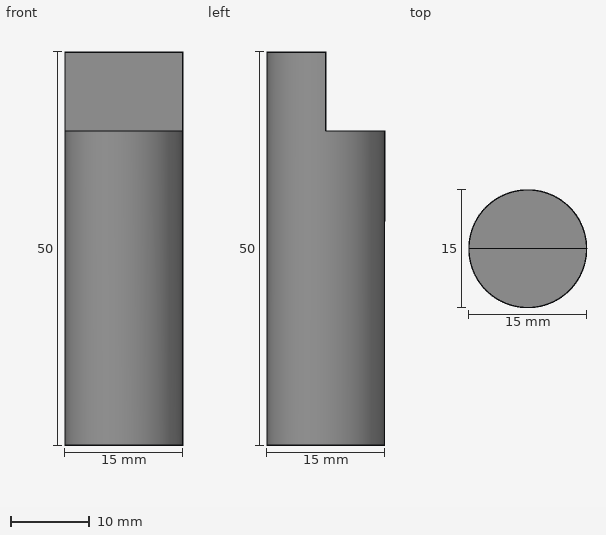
import cadquery as cq

pin_diameter = 15
pin_length = 50
step_height = 10

pin = cq.Workplane("XY").circle(pin_diameter / 2).extrude(pin_length)

step_cut = (
    cq.Workplane("XY")
    .workplane(offset=pin_length - step_height)
    .rect(pin_diameter, pin_diameter)
    .extrude(step_height)
    .translate((0, -pin_diameter / 2, 0))
)

result = pin.cut(step_cut)